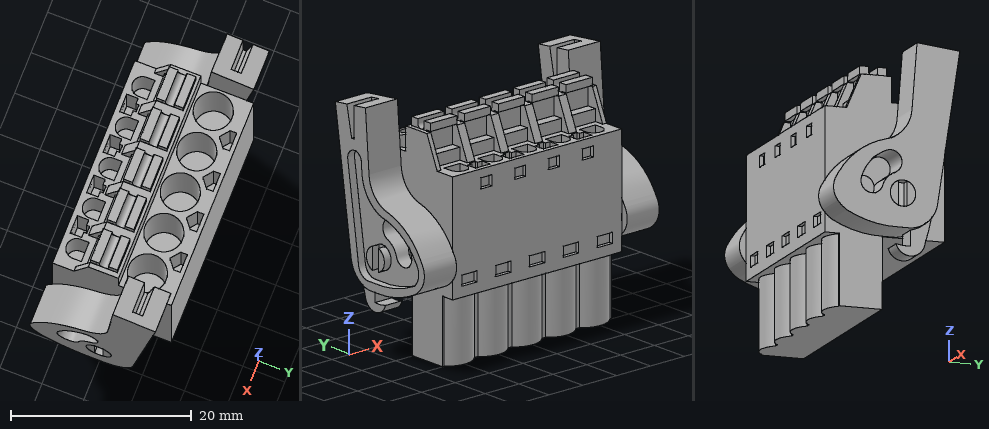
import cadquery as cq
import math


poles = 5
pitch = 5.0
housing_width = poles * pitch
half_width = housing_width / 2
pole_x = [(i - (poles - 1) / 2) * pitch for i in range(poles)]
between_x = [(i - (poles - 2) / 2) * pitch for i in range(poles - 1)]

front_y = -14.18
rear_top_z = 15.4
front_top_z = 14.4
tower_top_z = 18.38
tower_back_y = -6.29
tower_front_y = -9.88
tower_foot_y = -11.6

bay_width = 3.87
bay_back_y = -6.65
bay_floor_z = front_top_z

plug_length = 8.27
plug_back_y = -7.39
plug_face_y = -12.45
plug_crown_y = -13.43
plug_crown_width = 4.46

wire_hole_radius = 2.22
wire_hole_y = -3.84
wire_hole_depth = 8.0
opening_depth = 5.0
rear_pocket_half_width = 1.09
rear_pocket_back_y = -0.49
rear_pocket_shoulder_y = -1.27
rear_pocket_tip_y = -2.14
probe_half_width = 1.18
probe_back_y = -11.24
probe_centre_y = -12.26
key_half_width = 1.08
key_neck_half_width = 0.43
key_neck_y = -11.86
key_back_y = -12.22
key_front_y = -13.58

window_depth = 0.5
upper_window_width = 1.6
upper_window_bottom_z = 12.05
lower_window_width = 2.25
lower_window_bottom_z = 1.3
window_height = 1.3

tongue_width = 2.5
tongue_back_top = (-4.3, 0)
tongue_back_bend = (-4.65, -2.6)
tongue_back_foot = (-4.8, -3.1)
tongue_tip_back = (-5.6, -4.2)
tongue_tip_front = (-6.05, -4.2)
tongue_bulge = (-6.15, -3.5)
tongue_waist = (-5.75, -2.85)
tongue_hollow = (-5.6, -1.3)
tongue_front_top = (-6.05, 0)

arm_gap = 0.1
arm_width = 4.75

grip_top_back = (0, 20.7)
grip_top_front = (-5.08, 21.25)
grip_foot_front = (-5.68, 13.55)
neck_end = (-8.7, 9.98)
shoulder_end = (-14.32, 5.77)
nose_start = (-14.6, 5.3)
nose_end = (-14.43, 2.47)
chin_end = (-13.35, 1.48)
belly_mid = (-10.6, 0.42)
belly_end = (-7.3, 0.05)
heel_start = (-6.3, 0.05)
heel_mid = (-4.0, 0.75)
heel_end = (-2.68, 2.85)

arm_pocket_depth = 1.0
pocket_top_back = (-2.1, 14.6)
pocket_crown = (-3.2, 15.8)
pocket_top_front = (-4.4, 14.6)
pocket_neck_start = (-4.5, 13.3)
pocket_neck_mid = (-5.55, 10.75)
pocket_neck_end = (-7.85, 9.13)
pocket_shoulder_mid = (-11.0, 7.85)
pocket_nose_start = (-13.55, 5.23)
pocket_nose_mid = (-14.0, 3.85)
pocket_nose_end = (-13.1, 2.38)
pocket_belly_mid = (-10.5, 1.47)
pocket_belly_end = (-8.1, 1.1)
pocket_heel_start = (-5.6, 1.1)
pocket_heel_mid = (-4.45, 1.55)
pocket_heel_end = (-3.92, 2.6)

grip_slot_length = 3.6
grip_slot_open_z = 22.0
grip_slot_mouth_z = 20.85
grip_slot_bottom_z = 17.12
grip_slot_mouth_back_y = -1.98
grip_slot_bottom_back_y = -2.76
grip_slot_front_y = -3.17

hook_width = 2.5
hook_root_z = 2.2
hook_root_back = (-2.85, hook_root_z)
hook_back_bend = (-3.3, 0.2)
hook_back_foot = (-3.72, -1.3)
hook_bottom = (-5.3, -2.85)
hook_tip = (-7.15, -1.6)
hook_lip_dip = (-6.2, -1.75)
hook_throat_y = -5.43
hook_throat_z = -1.7

pivot_y = -6.75
pivot_z = 3.95
pivot_radius = 1.5
pivot_slit_width = 1.0
pivot_slit_wall_depth = 1.0
pivot_slit_sag = 0.3

guide_track_radius = 3.8
guide_radius = 1.31
guide_start_angle = 16.0
guide_end_angle = 68.0
guide_pin_length = 2.0

pusher_top_z = 19.45
post_bottom_z = 18.48
post_depth = 1.08
pusher_back_y = bay_back_y
pusher_front_y = -9.85
post_overhang = 0.7
step_front_y = -10.38
step_top_z = 15.92
groove_edge_z = 18.8
groove_sag = 0.44


def side_profile(start_x):
    """Sketch plane at start_x whose local axes are Y and Z; it extrudes towards +X."""
    return cq.Workplane("YZ", origin=(start_x, 0, 0))


def block(x_range, y_range, z_range):
    """Axis-aligned box between the given limits."""
    size = [high - low for low, high in (x_range, y_range, z_range)]
    corner = (x_range[0], y_range[0], z_range[0])
    return cq.Workplane("XY", origin=corner).box(*size, centered=False)


def window(centre_x, width, bottom_z):
    """Shallow rectangular recess in the front face."""
    return block(
        (centre_x - width / 2, centre_x + width / 2),
        (front_y, front_y + window_depth),
        (bottom_z, bottom_z + window_height),
    )


def make_shell():
    """Housing block with its tower, extruded over the full width."""
    return (
        side_profile(-half_width)
        .moveTo(0, 0)
        .lineTo(0, rear_top_z)
        .lineTo(tower_back_y, rear_top_z)
        .lineTo(tower_back_y, tower_top_z)
        .lineTo(tower_front_y, tower_top_z)
        .lineTo(tower_foot_y, front_top_z)
        .lineTo(front_y, front_top_z)
        .lineTo(front_y, 0)
        .close()
        .extrude(housing_width)
    )


def make_plug():
    """Plug below the housing: a flat core with a shallow round front for every pole."""
    plug = block((-half_width, half_width), (plug_face_y, plug_back_y), (-plug_length, 0))
    half_crown = plug_crown_width / 2
    for x in pole_x:
        crown = (
            cq.Workplane("XY")
            .moveTo(x - half_crown, plug_face_y)
            .threePointArc((x, plug_crown_y), (x + half_crown, plug_face_y))
            .lineTo(x + half_crown, plug_back_y)
            .lineTo(x - half_crown, plug_back_y)
            .close()
            .extrude(-plug_length)
        )
        plug = plug.union(crown)
    return plug


def make_tongue():
    """Small latch tongue that hangs from the housing floor behind the plug."""
    return (
        side_profile(-tongue_width / 2)
        .moveTo(*tongue_back_top)
        .lineTo(*tongue_back_bend)
        .lineTo(*tongue_back_foot)
        .lineTo(*tongue_tip_back)
        .lineTo(*tongue_tip_front)
        .threePointArc(tongue_bulge, tongue_waist)
        .threePointArc(tongue_hollow, tongue_front_top)
        .close()
        .extrude(tongue_width)
    )


def pusher_bay(x):
    """Bay in the tower for one pusher, open to the top and the front."""
    return block(
        (x - bay_width / 2, x + bay_width / 2),
        (tower_foot_y, bay_back_y),
        (bay_floor_z, tower_top_z),
    )


def wire_hole(x):
    """Blind round wire hole in the rear top face."""
    return (
        cq.Workplane("XY", origin=(x, wire_hole_y, rear_top_z))
        .circle(wire_hole_radius)
        .extrude(-wire_hole_depth)
    )


def rear_pocket(x):
    """Five-sided pocket in the rear top face, pointing to the front."""
    return (
        cq.Workplane("XY", origin=(x, 0, rear_top_z))
        .moveTo(-rear_pocket_half_width, rear_pocket_back_y)
        .lineTo(rear_pocket_half_width, rear_pocket_back_y)
        .lineTo(rear_pocket_half_width, rear_pocket_shoulder_y)
        .lineTo(0, rear_pocket_tip_y)
        .lineTo(-rear_pocket_half_width, rear_pocket_shoulder_y)
        .close()
        .extrude(-opening_depth)
    )


def probe_hole(x):
    """D-shaped hole in the front top face, round towards the front."""
    return (
        cq.Workplane("XY", origin=(x, 0, front_top_z))
        .moveTo(-probe_half_width, probe_back_y)
        .lineTo(probe_half_width, probe_back_y)
        .lineTo(probe_half_width, probe_centre_y)
        .threePointArc((0, probe_centre_y - probe_half_width), (-probe_half_width, probe_centre_y))
        .close()
        .extrude(-opening_depth)
    )


def key_slot(x):
    """T-shaped slot in the front top face."""
    body = block(
        (x - key_half_width, x + key_half_width),
        (key_front_y, key_back_y),
        (front_top_z - opening_depth, front_top_z),
    )
    neck = block(
        (x - key_neck_half_width, x + key_neck_half_width),
        (key_front_y, key_neck_y),
        (front_top_z - opening_depth, front_top_z),
    )
    return body.union(neck)


def guide_point(angle, radius=guide_track_radius):
    """Point (Y, Z) at a radius around the pivot and an angle in degrees above the -Y direction."""
    turn = math.radians(angle)
    return (pivot_y - radius * math.cos(turn), pivot_z + radius * math.sin(turn))


def make_pins():
    """Split pivot pin and guide pin standing on the -X end wall of the housing."""
    pin_length = arm_gap + arm_width
    pivot = (
        side_profile(-half_width)
        .center(pivot_y, pivot_z)
        .circle(pivot_radius)
        .extrude(-pin_length)
    )
    half_slit = pivot_slit_width / 2
    tip_x = -half_width - pin_length
    wall_end_x = tip_x + pivot_slit_wall_depth
    slit = (
        cq.Workplane("XY", origin=(0, pivot_y, pivot_z - pivot_radius))
        .moveTo(tip_x, half_slit)
        .lineTo(wall_end_x, half_slit)
        .threePointArc((wall_end_x + pivot_slit_sag, 0), (wall_end_x, -half_slit))
        .lineTo(tip_x, -half_slit)
        .close()
        .extrude(2 * pivot_radius)
    )
    guide = (
        side_profile(-half_width)
        .center(*guide_point(guide_start_angle))
        .circle(guide_radius)
        .extrude(-guide_pin_length)
    )
    return pivot.cut(slit).union(guide)


def make_housing():
    """Shell, plug, tongue and pins in one piece, with all openings cut."""
    housing = make_shell().union(make_plug()).union(make_tongue())
    for x in pole_x:
        housing = housing.cut(pusher_bay(x)).cut(wire_hole(x)).cut(probe_hole(x))
        housing = housing.cut(window(x, lower_window_width, lower_window_bottom_z))
    for x in between_x:
        housing = housing.cut(rear_pocket(x)).cut(key_slot(x))
        housing = housing.cut(window(x, upper_window_width, upper_window_bottom_z))
    pins = make_pins()
    return housing.union(pins).union(pins.mirror("YZ"))


def make_pusher(x):
    """Push button of one pole: stepped front, and two posts with a round groove between them."""
    groove_back_y = pusher_back_y - post_depth
    groove_front_y = pusher_front_y + post_depth
    groove_mid_y = (groove_back_y + groove_front_y) / 2
    face_y = pusher_front_y + post_overhang
    return (
        side_profile(x - bay_width / 2)
        .moveTo(pusher_back_y, bay_floor_z)
        .lineTo(pusher_back_y, pusher_top_z)
        .lineTo(groove_back_y, pusher_top_z)
        .lineTo(groove_back_y, groove_edge_z)
        .threePointArc((groove_mid_y, groove_edge_z - groove_sag), (groove_front_y, groove_edge_z))
        .lineTo(groove_front_y, pusher_top_z)
        .lineTo(pusher_front_y, pusher_top_z)
        .lineTo(pusher_front_y, post_bottom_z)
        .lineTo(face_y, post_bottom_z)
        .lineTo(face_y, step_top_z)
        .lineTo(step_front_y, step_top_z)
        .lineTo(step_front_y, bay_floor_z)
        .close()
        .extrude(bay_width)
    )


def arm_plate(start_x):
    """Outline of the arm: a straight grip that flares into a rounded nose at the front."""
    return (
        side_profile(start_x)
        .moveTo(*grip_top_back)
        .lineTo(*grip_top_front)
        .lineTo(*grip_foot_front)
        .tangentArcPoint(neck_end, relative=False)
        .tangentArcPoint(shoulder_end, relative=False)
        .lineTo(*nose_start)
        .tangentArcPoint(nose_end, relative=False)
        .tangentArcPoint(chin_end, relative=False)
        .threePointArc(belly_mid, belly_end)
        .lineTo(*heel_start)
        .threePointArc(heel_mid, heel_end)
        .close()
        .extrude(arm_width)
    )


def arm_pocket(start_x):
    """Shallow pocket that follows the arm outline and leaves a rim around it."""
    return (
        side_profile(start_x)
        .moveTo(*pocket_top_back)
        .threePointArc(pocket_crown, pocket_top_front)
        .lineTo(*pocket_neck_start)
        .threePointArc(pocket_neck_mid, pocket_neck_end)
        .threePointArc(pocket_shoulder_mid, pocket_nose_start)
        .threePointArc(pocket_nose_mid, pocket_nose_end)
        .threePointArc(pocket_belly_mid, pocket_belly_end)
        .lineTo(*pocket_heel_start)
        .threePointArc(pocket_heel_mid, pocket_heel_end)
        .close()
        .extrude(arm_pocket_depth)
    )


def guide_slot(start_x):
    """Slot bent around the pivot with round ends, right through the arm."""
    inner = guide_track_radius - guide_radius
    outer = guide_track_radius + guide_radius
    middle_angle = (guide_start_angle + guide_end_angle) / 2
    slot = (
        side_profile(start_x)
        .moveTo(*guide_point(guide_start_angle, inner))
        .threePointArc(guide_point(middle_angle, inner), guide_point(guide_end_angle, inner))
        .lineTo(*guide_point(guide_end_angle, outer))
        .threePointArc(guide_point(middle_angle, outer), guide_point(guide_start_angle, outer))
        .close()
        .extrude(arm_width)
    )
    for angle in (guide_start_angle, guide_end_angle):
        end = side_profile(start_x).center(*guide_point(angle)).circle(guide_radius).extrude(arm_width)
        slot = slot.union(end)
    return slot


def pivot_bore(start_x):
    """Round bore for the pivot pin."""
    return side_profile(start_x).center(pivot_y, pivot_z).circle(pivot_radius).extrude(arm_width)


def grip_slot(start_x):
    """Tapered slot in the top of the grip, open towards -X."""
    return (
        side_profile(start_x)
        .moveTo(grip_slot_mouth_back_y, grip_slot_open_z)
        .lineTo(grip_slot_mouth_back_y, grip_slot_mouth_z)
        .lineTo(grip_slot_bottom_back_y, grip_slot_bottom_z)
        .lineTo(grip_slot_front_y, grip_slot_bottom_z)
        .lineTo(grip_slot_front_y, grip_slot_open_z)
        .close()
        .extrude(grip_slot_length)
    )


def arm_hook(start_x):
    """Hook below the arm with its lip pointing to the front."""
    return (
        side_profile(start_x + (arm_width - hook_width) / 2)
        .moveTo(*hook_root_back)
        .lineTo(*hook_back_bend)
        .lineTo(*hook_back_foot)
        .threePointArc(hook_bottom, hook_tip)
        .lineTo(*hook_lip_dip)
        .lineTo(hook_throat_y, hook_throat_z)
        .lineTo(hook_throat_y, hook_root_z)
        .close()
        .extrude(hook_width)
    )


def make_arm(start_x):
    """Locking arm occupying arm_width from start_x towards +X."""
    arm = arm_plate(start_x).union(arm_hook(start_x))
    arm = arm.cut(arm_pocket(start_x)).cut(grip_slot(start_x))
    return arm.cut(guide_slot(start_x)).cut(pivot_bore(start_x))


housing = make_housing()
pushers = [make_pusher(x) for x in pole_x]
arm_starts = (-half_width - arm_gap - arm_width, half_width + arm_gap)
arms = [make_arm(x) for x in arm_starts]

result = cq.Compound.makeCompound(
    [housing.val(), *[pusher.val() for pusher in pushers], *[arm.val() for arm in arms]]
)